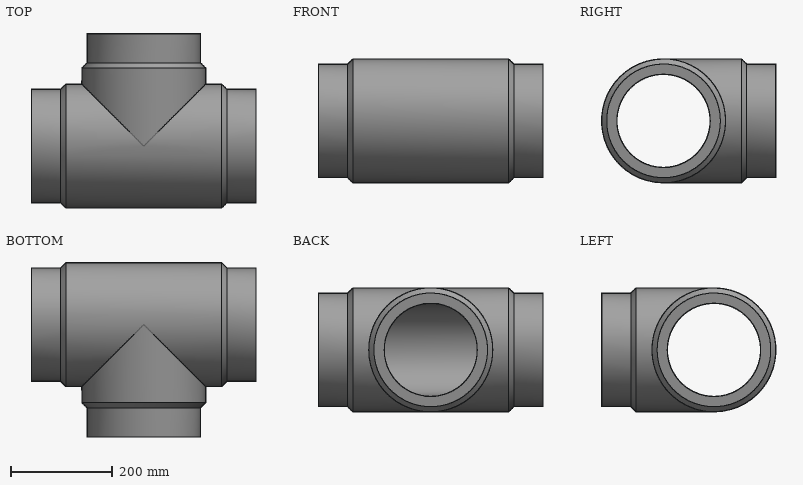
import cadquery as cq

run_length = 445.0
half_run = run_length / 2
branch_length = half_run
body_radius = 123.0
spigot_radius = 112.5
bore_radius = 92.0
spigot_length = 58.0
chamfer = body_radius - spigot_radius


def arm_solid(plane, length):
    """Revolve one stepped arm from the tee centre to its open end."""
    shoulder = length - spigot_length
    profile = [
        (0, 0),
        (body_radius, 0),
        (body_radius, shoulder - chamfer),
        (spigot_radius, shoulder),
        (spigot_radius, length),
        (0, length),
    ]
    return cq.Workplane(plane).polyline(profile).close().revolve(360, (0, 0), (0, 1))


right_plane = cq.Plane(origin=(0, 0, 0), xDir=(0, 1, 0), normal=(0, 0, -1))
left_plane = cq.Plane(origin=(0, 0, 0), xDir=(0, 1, 0), normal=(0, 0, 1))

run = arm_solid(right_plane, half_run).union(arm_solid(left_plane, half_run))
branch = arm_solid("XY", branch_length)

run_bore = cq.Workplane("YZ").circle(bore_radius).extrude(half_run, both=True)
branch_bore = cq.Workplane("XZ").circle(bore_radius).extrude(-branch_length)

result = run.union(branch).cut(run_bore).cut(branch_bore)